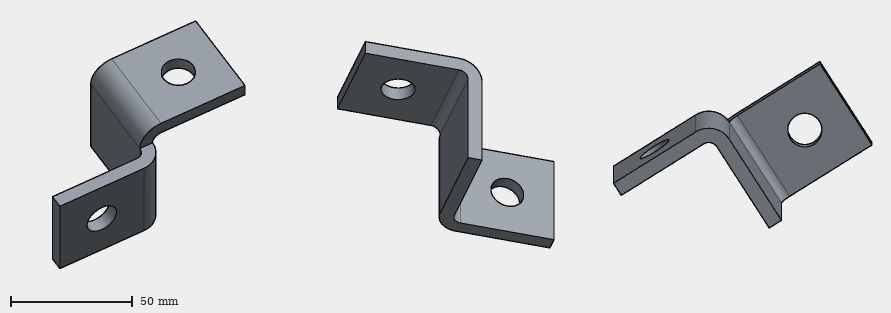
import cadquery as cq

thickness = 6.0
inner_radius = 4.0
outer_radius = inner_radius + thickness

panel = 40.0
hole_diameter = 14.0


def bent_strip(workplane):
    """Central panel, 90 degree bend and outer leg, extruded one panel width.

    The profile starts at the free end of the central panel, on the face outside
    the bend. It runs along local +Y, then bends toward local +X.
    """
    leg_end = outer_radius + panel
    return (
        workplane
        .moveTo(0, 0)
        .lineTo(0, panel)
        .radiusArc((outer_radius, panel + outer_radius), outer_radius)
        .lineTo(leg_end, panel + outer_radius)
        .lineTo(leg_end, panel + inner_radius)
        .lineTo(outer_radius, panel + inner_radius)
        .radiusArc((thickness, panel), -inner_radius)
        .lineTo(thickness, 0)
        .close()
        .extrude(panel)
    )


def hole_cutter(plane, center):
    """Cylinder centred on a leg's outer face, reaching past both sides of the leg."""
    return (
        cq.Workplane(plane, origin=center)
        .circle(hole_diameter / 2)
        .extrude(2 * thickness, both=True)
    )


hole_offset = outer_radius + panel / 2

upper_strip = bent_strip(cq.Workplane("YZ"))
upper_hole = hole_cutter("XY", (panel / 2, hole_offset, panel + outer_radius))

side_plane = cq.Plane(origin=(0, thickness, 0), xDir=(0, -1, 0), normal=(0, 0, 1))
side_strip = bent_strip(cq.Workplane(side_plane))
side_hole = hole_cutter("YZ", (panel + outer_radius, thickness - hole_offset, panel / 2))

result = upper_strip.union(side_strip).cut(upper_hole).cut(side_hole)